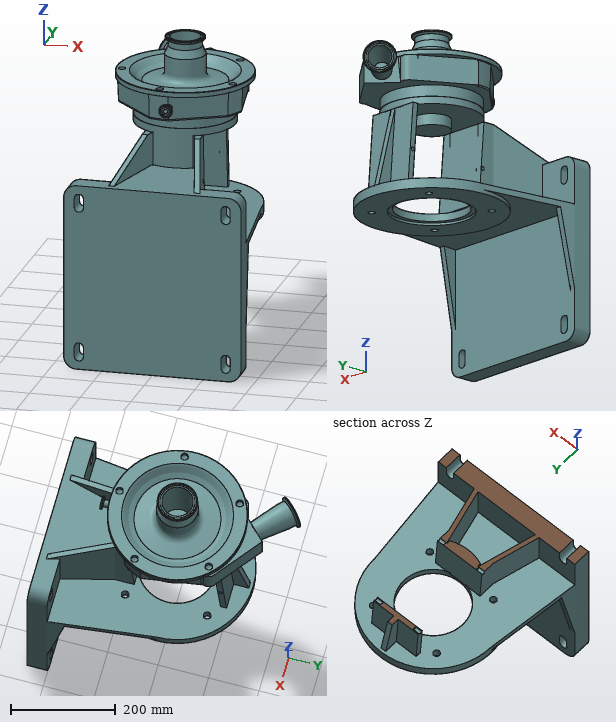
import math

import cadquery as cq


PLATE_WIDTH = 350.0
PLATE_HEIGHT = 370.0
PLATE_THICKNESS = 40.0
PLATE_FRONT_Y = -250.0
PLATE_BACK_Y = PLATE_FRONT_Y + PLATE_THICKNESS
PLATE_CORNER_RADIUS = 25.0
SLOT_SPACING_X = 290.0
SLOT_SPACING_Z = 300.0
SLOT_LENGTH = 36.0
SLOT_WIDTH = 18.0

DISC_RADIUS = 150.0
DISC_THICKNESS = 20.0
DISC_TOP_Z = 270.0
DISC_BORE_RADIUS = 75.0
DISC_REGISTER_RADIUS = 85.0
DISC_REGISTER_DEPTH = 5.0
SHELF_THICKNESS = 12.0
MOTOR_BOLT_CIRCLE_RADIUS = 115.0
MOTOR_BOLT_RADIUS = 7.0
MOTOR_BOLT_COUNT = 4
FIRST_MOTOR_BOLT_ANGLE = 45.0

LOWER_GUSSET_DEPTH = 33.0
LOWER_GUSSET_BOTTOM_Z = 99.0
LOWER_GUSSET_THICKNESS = 12.0

RING_RADIUS = 100.0
LEG_TOP_Z = 435.0
LEG_HALF_WIDTH = 57.0
LEG_LEAN = 13.0
FRONT_LEG_INNER_TOP_Y = -83.0
FRONT_LEG_OUTER_Y = -108.0
BACK_LEG_INNER_TOP_Y = 88.0
BACK_LEG_THICKNESS = 12.0
BACK_RIB_FOOT_Y = 143.0
BACK_RIB_THICKNESS = 12.0
RIB_THICKNESS = 11.0
RIB_END_Y = -235.0
RIB_END_HALF_WIDTH = 90.0
LEG_HOLE_RADIUS = 3.5
LEG_HOLE_DEPTH = 15.0
LEG_HOLE_Z = 341.0
FRONT_LEG_HOLE_Y = -80.0
BACK_LEG_HOLE_Y = 101.0

SEAT_RADIUS = 99.0
SEAT_JOINT_Z = 450.0
CASING_BOTTOM_Z = 473.0
SHAFT_RADIUS = 38.0
SHAFT_END_Z = 413.0

LOBE_COUNT = 5
LOBE_BOTTOM_RADIUS = 128.0
LOBE_TOP_RADIUS = 130.0
LOBE_ARC = 18.0
FIRST_LOBE_ANGLE = 45.0
CASING_BEVEL_HEIGHT = 3.0
CASING_BEVEL_WIDTH = 1.5

COVER_RADIUS = 134.0
COVER_BOTTOM_Z = 524.0
COVER_TOP_Z = 534.0
COVER_CHAMFER = 1.0
DISH_RIM_RADIUS = 107.0
DISH_WALL_TOP_RADIUS = 103.0
DISH_RIM_DEPTH = 3.0
DISH_WALL_FOOT_RADIUS = 93.0
DISH_FLOOR_RADIUS = 83.0
DISH_WALL_FOOT_Z = 521.0
DISH_FLOOR_Z = 515.0
DISH_CENTRE_Z = 518.0
COVER_BOLT_CIRCLE_RADIUS = 121.5
COVER_BOLT_RADIUS = 7.0
COVER_BOLT_DEPTH = 8.0
DRILL_POINT_ANGLE = 118.0

TOP_Z = 603.0
INLET_RADIUS = 40.0
INLET_ROOT_FILLET = 15.0
INLET_SHOULDER_Z = 569.0
INLET_NECK_Z = 585.0
INLET_NECK_RADIUS = 33.0
INLET_FERRULE_RADIUS = 38.75
INLET_FERRULE_RIM = 3.0
INLET_FERRULE_BEVEL = 3.0
INLET_BORE_RADIUS = 30.0
INLET_BORE_END_Z = 490.0

OUTLET_Z = (CASING_BOTTOM_Z + COVER_BOTTOM_Z) / 2
OUTLET_ANGLE = 135.0
OUTLET_TIP = (-78.7, 205.73, OUTLET_Z)
OUTLET_LENGTH = 86.0
OUTLET_ROOT_RADIUS = 19.0
OUTLET_TUBE_RADIUS = 26.0
OUTLET_TUBE_LENGTH = 20.0
OUTLET_FERRULE_RADIUS = 32.0
OUTLET_FERRULE_RIM = 3.0
OUTLET_FERRULE_BEVEL = 2.5
OUTLET_WALL = 3.0
OUTLET_BLOCK_PEAK = (5.5, 169.5)
OUTLET_BLOCK_FACE_LENGTH = 80.0
OUTLET_BOSS_RADIUS = 17.0
OUTLET_BOSS_FLANK_ANGLE = 153.0
OUTLET_BLOCK_TANGENT_POINT = (96.6, 99.1)
OUTLET_BLOCK_HEEL = (-132.5, 0.0)

DRAIN_TIP = (0, -150.5, 500.0)
DRAIN_ANGLE = 270.0
DRAIN_STEM_RADIUS = 7.0
DRAIN_BORE_RADIUS = 4.0
DRAIN_FERRULE_RADIUS = 13.0
DRAIN_FERRULE_RIM = 3.0
DRAIN_FERRULE_BEVEL = 2.0
DRAIN_LENGTH = 40.0

GROOVE_DEPTH = 1.0
GROOVE_WIDTH = 3.0
INLET_GROOVE_RADIUS = 35.0
OUTLET_GROOVE_RADIUS = 28.0
DRAIN_GROOVE_RADIUS = 9.0


def polar(radius, angle):
    """Point at a radius and an angle in degrees."""
    return radius * math.cos(math.radians(angle)), radius * math.sin(math.radians(angle))


def cylinder(radius, bottom_z, top_z):
    """Upright cylinder on the pump axis."""
    return cq.Workplane("XY", origin=(0, 0, bottom_z)).circle(radius).extrude(top_z - bottom_z)


def side_profile(points, x_min, x_max):
    """Prism of a (y, z) outline between two x positions."""
    return cq.Workplane("YZ", origin=(x_min, 0, 0)).polyline(points).close().extrude(x_max - x_min)


def mirrored_pair(body):
    """A body together with its mirror image across the x = 0 plane."""
    return body.union(body.mirror("YZ"))


def mounting_plate():
    plate = (
        cq.Workplane("XY")
        .box(PLATE_WIDTH, PLATE_THICKNESS, PLATE_HEIGHT, centered=(True, False, False))
        .translate((0, PLATE_FRONT_Y, 0))
        .edges("|Y")
        .fillet(PLATE_CORNER_RADIUS)
    )
    slots = (
        cq.Workplane("XZ", origin=(0, PLATE_BACK_Y, PLATE_HEIGHT / 2))
        .rarray(SLOT_SPACING_X, SLOT_SPACING_Z, 2, 2)
        .slot2D(SLOT_LENGTH, SLOT_WIDTH, 90)
        .extrude(PLATE_THICKNESS)
    )
    return plate.cut(slots)


def shelf():
    """Tapered shelf from the full width of the disc to the full width of the plate."""
    half_width = PLATE_WIDTH / 2
    outline = [(-DISC_RADIUS, 0), (-half_width, PLATE_BACK_Y), (half_width, PLATE_BACK_Y), (DISC_RADIUS, 0)]
    bottom = cq.Workplane("XY", origin=(0, 0, DISC_TOP_Z - SHELF_THICKNESS))
    return bottom.polyline(outline).close().extrude(SHELF_THICKNESS)


def bracket():
    disc_bottom_z = DISC_TOP_Z - DISC_THICKNESS
    bolt_holes = (
        cq.Workplane("XY", origin=(0, 0, disc_bottom_z))
        .polarArray(MOTOR_BOLT_CIRCLE_RADIUS, FIRST_MOTOR_BOLT_ANGLE, 360, MOTOR_BOLT_COUNT)
        .circle(MOTOR_BOLT_RADIUS)
        .extrude(DISC_THICKNESS)
    )
    body = cylinder(DISC_RADIUS, disc_bottom_z, DISC_TOP_Z).union(shelf())
    bore = cylinder(DISC_BORE_RADIUS, disc_bottom_z, DISC_TOP_Z)
    register = cylinder(DISC_REGISTER_RADIUS, disc_bottom_z, disc_bottom_z + DISC_REGISTER_DEPTH)
    return body.cut(bore).cut(register).cut(bolt_holes)


def lower_gussets():
    """Triangular gussets along the two slanting sides of the shelf."""
    shelf_bottom_z = DISC_TOP_Z - SHELF_THICKNESS
    plan = [
        (DISC_RADIUS, 0),
        (PLATE_WIDTH / 2, PLATE_BACK_Y),
        (PLATE_WIDTH / 2 - LOWER_GUSSET_THICKNESS, PLATE_BACK_Y),
        (DISC_RADIUS - LOWER_GUSSET_THICKNESS, 0),
    ]
    strip = cq.Workplane("XY").polyline(plan).close().extrude(shelf_bottom_z)
    outline = [
        (PLATE_BACK_Y, shelf_bottom_z),
        (PLATE_BACK_Y + LOWER_GUSSET_DEPTH, shelf_bottom_z),
        (PLATE_BACK_Y, LOWER_GUSSET_BOTTOM_Z),
    ]
    return mirrored_pair(strip.intersect(side_profile(outline, 0, PLATE_WIDTH / 2)))


def leg_holes(y):
    """Pair of blind holes in the two side faces of a leg."""
    start_x = LEG_HALF_WIDTH - LEG_HOLE_DEPTH
    hole = cq.Workplane("YZ", origin=(start_x, y, LEG_HOLE_Z)).circle(LEG_HOLE_RADIUS).extrude(LEG_HOLE_DEPTH)
    return mirrored_pair(hole)


def rib_inner_x(y):
    """Half the clear width between the splayed ribs at a given y."""
    splay = (RIB_END_HALF_WIDTH - LEG_HALF_WIDTH) / (FRONT_LEG_OUTER_Y - RIB_END_Y)
    return RIB_END_HALF_WIDTH - RIB_THICKNESS - splay * (y - RIB_END_Y)


def front_leg():
    """Leg rounded to the ring radius, flanked by two splayed ribs that run down to the plate."""
    inner_foot_y = FRONT_LEG_INNER_TOP_Y + LEG_LEAN
    rib_plan = [
        (LEG_HALF_WIDTH, inner_foot_y),
        (LEG_HALF_WIDTH, FRONT_LEG_OUTER_Y),
        (RIB_END_HALF_WIDTH, RIB_END_Y),
        (rib_inner_x(RIB_END_Y), RIB_END_Y),
        (rib_inner_x(inner_foot_y), inner_foot_y),
    ]
    leg_height = LEG_TOP_Z - DISC_TOP_Z
    rib = cq.Workplane("XY", origin=(0, 0, DISC_TOP_Z)).polyline(rib_plan).close().extrude(leg_height)
    side_outline = [
        (inner_foot_y, DISC_TOP_Z),
        (FRONT_LEG_INNER_TOP_Y, LEG_TOP_Z),
        (FRONT_LEG_OUTER_Y, LEG_TOP_Z),
        (RIB_END_Y, PLATE_HEIGHT),
        (RIB_END_Y, DISC_TOP_Z),
    ]
    envelope = side_profile(side_outline, -RIB_END_HALF_WIDTH, RIB_END_HALF_WIDTH)
    core_half_width = rib_inner_x(FRONT_LEG_INNER_TOP_Y)
    core_limit = side_profile(side_outline, -core_half_width, core_half_width)
    core = cylinder(RING_RADIUS, DISC_TOP_Z, LEG_TOP_Z).intersect(core_limit)
    leg = core.union(mirrored_pair(rib).intersect(envelope))
    return leg.cut(leg_holes(FRONT_LEG_HOLE_Y))


def rib_web():
    """Level web between the ribs, flush with the top of the mounting plate."""
    leg_y = FRONT_LEG_INNER_TOP_Y
    outline = [
        (-rib_inner_x(leg_y), leg_y),
        (-rib_inner_x(PLATE_BACK_Y), PLATE_BACK_Y),
        (rib_inner_x(PLATE_BACK_Y), PLATE_BACK_Y),
        (rib_inner_x(leg_y), leg_y),
    ]
    web = cq.Workplane("XY", origin=(0, 0, PLATE_HEIGHT - SHELF_THICKNESS)).polyline(outline).close()
    inside_leg = cylinder(RING_RADIUS, DISC_TOP_Z, LEG_TOP_Z)
    return web.extrude(SHELF_THICKNESS).cut(inside_leg)


def back_leg():
    """Leaning flat leg with a triangular rib behind it."""
    outer_top_y = BACK_LEG_INNER_TOP_Y + BACK_LEG_THICKNESS
    outer_foot_y = outer_top_y + LEG_LEAN
    outline = [
        (BACK_LEG_INNER_TOP_Y + LEG_LEAN, DISC_TOP_Z),
        (BACK_LEG_INNER_TOP_Y, LEG_TOP_Z),
        (outer_top_y, LEG_TOP_Z),
        (outer_foot_y, DISC_TOP_Z),
    ]
    rib_outline = [(outer_foot_y, DISC_TOP_Z), (outer_top_y, LEG_TOP_Z), (BACK_RIB_FOOT_Y, DISC_TOP_Z)]
    leg = side_profile(outline, -LEG_HALF_WIDTH, LEG_HALF_WIDTH)
    rib = side_profile(rib_outline, -BACK_RIB_THICKNESS / 2, BACK_RIB_THICKNESS / 2)
    return leg.union(rib).cut(leg_holes(BACK_LEG_HOLE_Y))


def pump_seat():
    ring = cylinder(RING_RADIUS, LEG_TOP_Z, SEAT_JOINT_Z)
    seat = cylinder(SEAT_RADIUS, SEAT_JOINT_Z, CASING_BOTTOM_Z)
    shaft = cylinder(SHAFT_RADIUS, SHAFT_END_Z, LEG_TOP_Z)
    return ring.union(seat).union(shaft)


def lobed_outline(sketch, radius):
    """Closed outline of round lobes joined by straight flats."""
    lobe_pitch = 360.0 / LOBE_COUNT
    sketch = sketch.moveTo(*polar(radius, FIRST_LOBE_ANGLE - LOBE_ARC / 2))
    for index in range(LOBE_COUNT):
        middle = FIRST_LOBE_ANGLE + index * lobe_pitch
        sketch = sketch.threePointArc(polar(radius, middle), polar(radius, middle + LOBE_ARC / 2))
        if index < LOBE_COUNT - 1:
            sketch = sketch.lineTo(*polar(radius, middle + lobe_pitch - LOBE_ARC / 2))
    return sketch.close()


def casing():
    height = COVER_BOTTOM_Z - CASING_BOTTOM_Z - CASING_BEVEL_HEIGHT
    bottom = cq.Workplane("XY", origin=(0, 0, CASING_BOTTOM_Z))
    bevel = lobed_outline(bottom, LOBE_BOTTOM_RADIUS - CASING_BEVEL_WIDTH)
    bevel = bevel.workplane(offset=CASING_BEVEL_HEIGHT)
    bevel = lobed_outline(bevel, LOBE_BOTTOM_RADIUS).loft(ruled=True)
    wall = cq.Workplane("XY", origin=(0, 0, CASING_BOTTOM_Z + CASING_BEVEL_HEIGHT))
    wall = lobed_outline(wall, LOBE_BOTTOM_RADIUS).workplane(offset=height)
    return bevel.union(lobed_outline(wall, LOBE_TOP_RADIUS).loft(ruled=True))


def cover_flange():
    return cylinder(COVER_RADIUS, COVER_BOTTOM_Z, COVER_TOP_Z).faces(">Z").edges().chamfer(COVER_CHAMFER)


def dish():
    """Space of the shallow bowl turned into the cover around the inlet."""
    outline = [
        (0, DISH_CENTRE_Z),
        (INLET_RADIUS + INLET_ROOT_FILLET, DISH_CENTRE_Z),
        (DISH_FLOOR_RADIUS, DISH_FLOOR_Z),
        (DISH_WALL_FOOT_RADIUS, DISH_WALL_FOOT_Z),
        (DISH_WALL_TOP_RADIUS, COVER_TOP_Z - DISH_RIM_DEPTH),
        (DISH_RIM_RADIUS, COVER_TOP_Z),
        (0, COVER_TOP_Z),
    ]
    return cq.Workplane("XZ").polyline(outline).close().revolve(360, (0, 0), (0, 1))


def cover_bolt_holes():
    """Blind drilled holes, one above each casing lobe."""
    point_z = COVER_TOP_Z - COVER_BOLT_DEPTH
    point_height = COVER_BOLT_RADIUS / math.tan(math.radians(DRILL_POINT_ANGLE / 2))
    outline = [
        (0, COVER_TOP_Z),
        (COVER_BOLT_RADIUS, COVER_TOP_Z),
        (COVER_BOLT_RADIUS, point_z),
        (0, point_z - point_height),
    ]
    hole = cq.Workplane("XZ").polyline(outline).close().revolve(360, (0, 0), (0, 1)).val()
    return (
        cq.Workplane("XY")
        .polarArray(COVER_BOLT_CIRCLE_RADIUS, FIRST_LOBE_ANGLE, 360, LOBE_COUNT)
        .eachpoint(lambda location: hole.located(location), combine=False)
    )


def inlet():
    """Neck with a rounded root, a shoulder and a bevelled ferrule."""
    ferrule_z = TOP_Z - INLET_FERRULE_RIM
    root_mid = INLET_ROOT_FILLET * (1 - math.sqrt(0.5))
    return (
        cq.Workplane("XZ")
        .moveTo(0, DISH_CENTRE_Z)
        .lineTo(INLET_RADIUS + INLET_ROOT_FILLET, DISH_CENTRE_Z)
        .threePointArc(
            (INLET_RADIUS + root_mid, DISH_CENTRE_Z + root_mid),
            (INLET_RADIUS, DISH_CENTRE_Z + INLET_ROOT_FILLET),
        )
        .lineTo(INLET_RADIUS, INLET_SHOULDER_Z)
        .lineTo(INLET_NECK_RADIUS, INLET_NECK_Z)
        .lineTo(INLET_NECK_RADIUS, ferrule_z - INLET_FERRULE_BEVEL)
        .lineTo(INLET_FERRULE_RADIUS, ferrule_z)
        .lineTo(INLET_FERRULE_RADIUS, TOP_Z)
        .lineTo(0, TOP_Z)
        .close()
        .revolve(360, (0, 0), (0, 1))
    )


def outlet_block():
    """Block with its face square to the outlet, a sloping flank and a bolt boss at each end."""
    peak_x, peak_y = OUTLET_BLOCK_PEAK
    step_x, step_y = polar(OUTLET_BLOCK_FACE_LENGTH, OUTLET_ANGLE + 90)
    bolt_angles = [FIRST_LOBE_ANGLE, FIRST_LOBE_ANGLE + 360.0 / LOBE_COUNT]
    bolt_points = [polar(COVER_BOLT_CIRCLE_RADIUS, angle) for angle in bolt_angles]
    far_x, far_y = bolt_points[1]
    flank_x, flank_y = polar(OUTLET_BOSS_RADIUS, OUTLET_BOSS_FLANK_ANGLE)
    outline = [
        OUTLET_BLOCK_PEAK,
        (peak_x + step_x, peak_y + step_y),
        (far_x + flank_x, far_y + flank_y),
        OUTLET_BLOCK_HEEL,
        (0, 0),
        OUTLET_BLOCK_TANGENT_POINT,
    ]
    height = COVER_BOTTOM_Z - CASING_BOTTOM_Z
    base = cq.Workplane("XY", origin=(0, 0, CASING_BOTTOM_Z))
    block = base.polyline(outline).close().extrude(height)
    bosses = base.pushPoints(bolt_points).circle(OUTLET_BOSS_RADIUS).extrude(height)
    return block.union(bosses)


def turned_port(outline, tip, angle):
    """Turn a (distance back from the tip, radius) outline about a horizontal axis pointing at angle."""
    plane = cq.Plane(origin=tip, xDir=polar(-1, angle) + (0,), normal=(0, 0, 1))
    return cq.Workplane(plane).polyline(outline).close().revolve(360, (0, 0), (1, 0))


def port_groove(radius, tip, angle):
    """Gasket groove in the end face of a horizontal port."""
    inner = radius - GROOVE_WIDTH / 2
    outer = radius + GROOVE_WIDTH / 2
    return turned_port([(0, inner), (0, outer), (GROOVE_DEPTH, outer), (GROOVE_DEPTH, inner)], tip, angle)


def outlet_pipe():
    """Conical pipe that ends in a short tube with a bevelled ferrule."""
    outline = [
        (0, 0),
        (0, OUTLET_FERRULE_RADIUS),
        (OUTLET_FERRULE_RIM, OUTLET_FERRULE_RADIUS),
        (OUTLET_FERRULE_RIM + OUTLET_FERRULE_BEVEL, OUTLET_TUBE_RADIUS),
        (OUTLET_TUBE_LENGTH, OUTLET_TUBE_RADIUS),
        (OUTLET_LENGTH, OUTLET_ROOT_RADIUS),
        (OUTLET_LENGTH, 0),
    ]
    return turned_port(outline, OUTLET_TIP, OUTLET_ANGLE)


def outlet_bore():
    outline = [
        (0, 0),
        (0, OUTLET_TUBE_RADIUS - OUTLET_WALL),
        (OUTLET_TUBE_LENGTH, OUTLET_TUBE_RADIUS - OUTLET_WALL),
        (OUTLET_LENGTH, OUTLET_ROOT_RADIUS - OUTLET_WALL),
        (OUTLET_LENGTH, 0),
    ]
    return turned_port(outline, OUTLET_TIP, OUTLET_ANGLE)


def drain():
    """Small stub with a bevelled ferrule."""
    outline = [
        (0, 0),
        (0, DRAIN_FERRULE_RADIUS),
        (DRAIN_FERRULE_RIM, DRAIN_FERRULE_RADIUS),
        (DRAIN_FERRULE_RIM + DRAIN_FERRULE_BEVEL, DRAIN_STEM_RADIUS),
        (DRAIN_LENGTH, DRAIN_STEM_RADIUS),
        (DRAIN_LENGTH, 0),
    ]
    return turned_port(outline, DRAIN_TIP, DRAIN_ANGLE)


def drain_bore():
    outline = [(0, 0), (0, DRAIN_BORE_RADIUS), (DRAIN_LENGTH, DRAIN_BORE_RADIUS), (DRAIN_LENGTH, 0)]
    return turned_port(outline, DRAIN_TIP, DRAIN_ANGLE)


def inlet_groove():
    base = cq.Workplane("XY", origin=(0, 0, TOP_Z - GROOVE_DEPTH))
    ring = base.circle(INLET_GROOVE_RADIUS + GROOVE_WIDTH / 2).circle(INLET_GROOVE_RADIUS - GROOVE_WIDTH / 2)
    return ring.extrude(GROOVE_DEPTH)


def pump():
    body = casing().union(outlet_block()).union(cover_flange()).union(outlet_pipe()).union(drain())
    body = body.cut(dish()).cut(cover_bolt_holes()).cut(outlet_bore()).cut(drain_bore())
    body = body.union(inlet())
    body = body.cut(cylinder(INLET_BORE_RADIUS, INLET_BORE_END_Z, TOP_Z)).cut(inlet_groove())
    body = body.cut(port_groove(OUTLET_GROOVE_RADIUS, OUTLET_TIP, OUTLET_ANGLE))
    return body.cut(port_groove(DRAIN_GROOVE_RADIUS, DRAIN_TIP, DRAIN_ANGLE))


support = mounting_plate().union(bracket()).union(lower_gussets())
support = support.union(front_leg()).union(rib_web()).union(back_leg())
result = support.union(pump_seat()).union(pump())